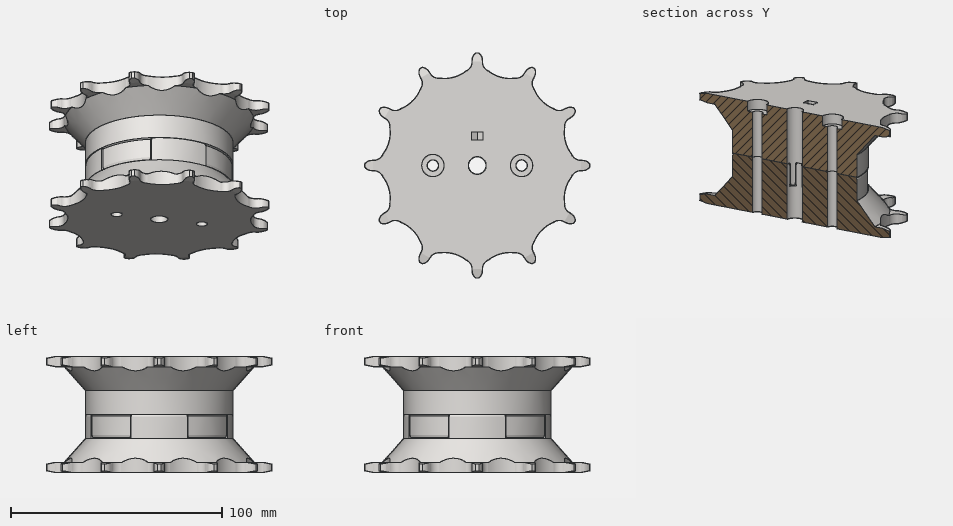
import cadquery as cq
import math

TIP_RADIUS = 53.3
TOTAL_HEIGHT = 55.0
HALF_HEIGHT = TOTAL_HEIGHT / 2

TOOTH_COUNT = 12
TOOTH_PITCH = 360 / TOOTH_COUNT
PLATE_THICKNESS = 4.9
CREST_HALF_WIDTH = 0.7
SHOULDER_HALF_WIDTH = 2.3
SHOULDER_RADIUS = 50.9
NOSE_CURVE_SAG = 0.2
TOOTH_BASE_HALF_WIDTH = 2.6
TOOTH_BASE_RADIUS = 49.1
VALLEY_END_HALF_WIDTH = 5.1
VALLEY_END_RADIUS = 44.8
ROOT_CURVE_SAG = 0.8
VALLEY_RADIUS = 43.2
TIP_BEVEL_START = TOOTH_BASE_RADIUS
TIP_BEVEL_DROP = 0.9

DRUM_RADIUS = 70.0 / 2
CONE_DEPTH = 16.1
CONE_TOP_RADIUS = 45.0

JAW_COUNT = 4
JAW_PITCH = 360 / JAW_COUNT
JAW_HALF_ANGLE = JAW_PITCH / 4
JAW_HEIGHT = HALF_HEIGHT - CONE_DEPTH
JAW_LEAD_HEIGHT = 1.1
JAW_LEAD_INSET = 0.3
JAW_CLEARANCE = 0.4
JAW_ROOT_HEIGHT = 0.6

AXLE_DIAMETER = 8.2
BOLT_DIAMETER = 5.2
BOLT_HEAD_DIAMETER = 10.5
BOLT_HEAD_DEPTH = PLATE_THICKNESS
BOLT_OFFSET = 21.0

POCKET_WIDTH = 5.5
POCKET_LENGTH = 3.8
POCKET_OFFSET = 14.0
POCKET_WALL_DEPTH = PLATE_THICKNESS
POCKET_FLOOR_SLOPE = 30


def rotated(point, degrees):
    angle = math.radians(degrees)
    x, y = point
    return (
        x * math.cos(angle) - y * math.sin(angle),
        x * math.sin(angle) + y * math.cos(angle),
    )


def mirrored(point):
    return (point[0], -point[1])


def bowed_middle(start, end, sag):
    """Middle of the arc from `start` to `end`, `sag` to the right of the chord (negative: left)."""
    chord_x = end[0] - start[0]
    chord_y = end[1] - start[1]
    chord = math.hypot(chord_x, chord_y)
    return (
        (start[0] + end[0]) / 2 + sag * chord_y / chord,
        (start[1] + end[1]) / 2 - sag * chord_x / chord,
    )


def sprocket_outline():
    """Closed outline of the sprocket; each tooth is laid out about +X and turned into place."""
    crest = (math.sqrt(TIP_RADIUS**2 - CREST_HALF_WIDTH**2), CREST_HALF_WIDTH)
    shoulder = (SHOULDER_RADIUS, SHOULDER_HALF_WIDTH)
    base = (TOOTH_BASE_RADIUS, TOOTH_BASE_HALF_WIDTH)
    valley_end = (VALLEY_END_RADIUS, VALLEY_END_HALF_WIDTH)
    nose = bowed_middle(crest, shoulder, NOSE_CURVE_SAG)
    root = bowed_middle(base, valley_end, -ROOT_CURVE_SAG)
    valley_bottom = rotated((VALLEY_RADIUS, 0), TOOTH_PITCH / 2)

    outline = cq.Workplane("XY").moveTo(*mirrored(valley_end))
    for tooth in range(TOOTH_COUNT):
        turn = tooth * TOOTH_PITCH
        outline = (
            outline.threePointArc(rotated(mirrored(root), turn), rotated(mirrored(base), turn))
            .lineTo(*rotated(mirrored(shoulder), turn))
            .threePointArc(rotated(mirrored(nose), turn), rotated(mirrored(crest), turn))
            .threePointArc(rotated((TIP_RADIUS, 0), turn), rotated(crest, turn))
            .threePointArc(rotated(nose, turn), rotated(shoulder, turn))
            .lineTo(*rotated(base, turn))
            .threePointArc(rotated(root, turn), rotated(valley_end, turn))
            .threePointArc(
                rotated(valley_bottom, turn),
                rotated(mirrored(valley_end), turn + TOOTH_PITCH),
            )
        )
    return outline.close()


def flange():
    """Upper plate, cone and drum end, from Z = JAW_HEIGHT to the top face."""
    plate_bottom = HALF_HEIGHT - PLATE_THICKNESS
    profile = [
        (0, JAW_HEIGHT),
        (DRUM_RADIUS, JAW_HEIGHT),
        (CONE_TOP_RADIUS, plate_bottom),
        (TIP_BEVEL_START, plate_bottom),
        (TIP_RADIUS, plate_bottom + TIP_BEVEL_DROP),
        (TIP_RADIUS, HALF_HEIGHT - TIP_BEVEL_DROP),
        (TIP_BEVEL_START, HALF_HEIGHT),
        (0, HALF_HEIGHT),
    ]
    turned = cq.Workplane("XZ").polyline(profile).close().revolve(360, (0, 0), (0, 1))
    return turned.intersect(sprocket_outline().extrude(HALF_HEIGHT))


def jaw_sector(base_z, inset):
    """Sector outline about +X whose arc and both flanks are moved in by `inset`."""
    radius = DRUM_RADIUS - inset
    apex = (inset / math.sin(math.radians(JAW_HALF_ANGLE)), 0)
    end_angle = JAW_HALF_ANGLE - math.degrees(math.asin(inset / radius))
    return (
        cq.Workplane("XY", origin=(0, 0, base_z))
        .moveTo(*apex)
        .lineTo(*rotated((radius, 0), -end_angle))
        .threePointArc((radius, 0), rotated((radius, 0), end_angle))
        .close()
    )


def tapered_sector(base_z, inset, height, end_inset):
    """Loft from a sector at `base_z` to a smaller one `height` above it."""
    base = jaw_sector(base_z, inset).wires().val()
    end = jaw_sector(base_z + height, end_inset).wires().val()
    return cq.Workplane(cq.Solid.makeLoft([base, end], True))


def lower_jaw():
    straight_height = JAW_HEIGHT - JAW_LEAD_HEIGHT
    straight = jaw_sector(-JAW_HEIGHT, 0).extrude(straight_height)
    return straight.union(tapered_sector(-JAW_LEAD_HEIGHT, 0, JAW_LEAD_HEIGHT, JAW_LEAD_INSET))


def upper_jaw():
    end_z = JAW_CLEARANCE - JAW_HEIGHT
    lead_z = end_z + JAW_LEAD_HEIGHT
    straight = jaw_sector(lead_z, JAW_CLEARANCE).extrude(-JAW_ROOT_HEIGHT - lead_z)
    root = tapered_sector(0, 0, -JAW_ROOT_HEIGHT, JAW_CLEARANCE)
    lead = tapered_sector(lead_z, JAW_CLEARANCE, -JAW_LEAD_HEIGHT, JAW_CLEARANCE + JAW_LEAD_INSET)
    return straight.union(root).union(lead)


def with_jaws(body, jaw, first_angle):
    for index in range(JAW_COUNT):
        body = body.union(jaw.rotate((0, 0, 0), (0, 0, 1), first_angle + index * JAW_PITCH))
    return body


def with_holes(body):
    """Axle hole and two bolt holes, right through."""
    start = cq.Workplane("XY", origin=(0, 0, -HALF_HEIGHT))
    axle = start.circle(AXLE_DIAMETER / 2).extrude(TOTAL_HEIGHT)
    bolts = (
        start.pushPoints([(-BOLT_OFFSET, 0), (BOLT_OFFSET, 0)])
        .circle(BOLT_DIAMETER / 2)
        .extrude(TOTAL_HEIGHT)
    )
    return body.cut(axle).cut(bolts)


def bolt_head_recesses():
    return (
        cq.Workplane("XY", origin=(0, 0, HALF_HEIGHT))
        .pushPoints([(-BOLT_OFFSET, 0), (BOLT_OFFSET, 0)])
        .circle(BOLT_HEAD_DIAMETER / 2)
        .extrude(-BOLT_HEAD_DEPTH)
    )


def top_pocket():
    half_width = POCKET_WIDTH / 2
    wall_bottom = HALF_HEIGHT - POCKET_WALL_DEPTH
    corners = [
        (-half_width, HALF_HEIGHT),
        (half_width, HALF_HEIGHT),
        (half_width, wall_bottom),
        (0, wall_bottom - half_width * math.tan(math.radians(POCKET_FLOOR_SLOPE))),
        (-half_width, wall_bottom),
    ]
    start = cq.Workplane("XZ", origin=(0, POCKET_OFFSET, 0))
    return start.polyline(corners).close().extrude(POCKET_LENGTH / 2, both=True)


def upper_half():
    drum = cq.Workplane("XY").circle(DRUM_RADIUS).extrude(JAW_HEIGHT)
    body = with_jaws(flange().union(drum), upper_jaw(), JAW_PITCH / 2)
    return with_holes(body).cut(bolt_head_recesses()).cut(top_pocket())


def lower_half():
    body = with_jaws(flange().mirror("XY"), lower_jaw(), 0)
    return with_holes(body)


upper = upper_half()
lower = lower_half()

result = cq.Compound.makeCompound([upper.solids().val(), lower.solids().val()])